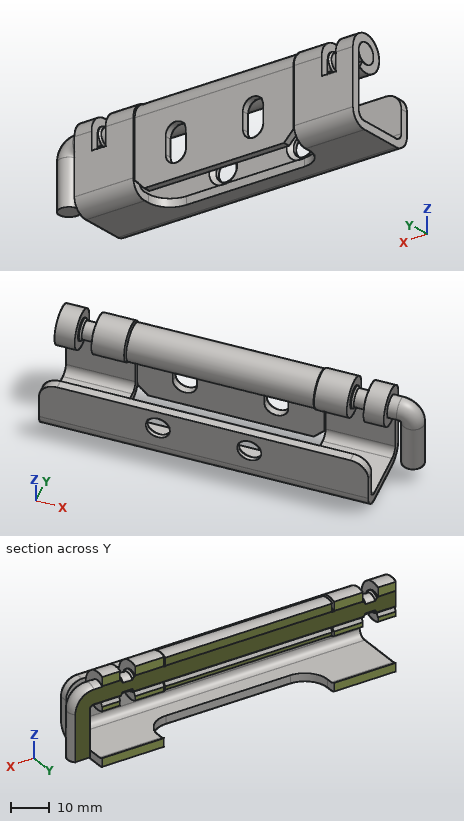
import cadquery as cq
import math


total_length = 99.1
total_depth = 23.0
total_height = 27.5

pin_diameter = 6.2
pin_radius = pin_diameter / 2
pin_bend_radius = 3.5
pin_tip_height = 4.2
neck_diameter = 5.2
neck_length = 2.9
neck_offset = 7.8

bracket_length = 90.0
bracket_thickness = 2.5
bracket_curl_radius = pin_radius + bracket_thickness
bend_inner_radius = 2.3
bend_outer_radius = bend_inner_radius + bracket_thickness
flange_height = 16.7
flange_corner_radius = 5.0
curl_end_angle = 30.0

knuckle_slot_start = 5.6
knuckle_slot_width = 4.6
knuckle_end = 19.0
opening_depth = 13.4
opening_corner_radius = 6.9

leaf_thickness = 2.2
leaf_curl_radius = pin_radius + leaf_thickness
leaf_start = 19.5
leaf_length = 51.1
leaf_bottom = 0.9
leaf_corner_chamfer = 3.0

hole_diameter = 6.5
hole_spacing = 25.0
hole_height = 11.1
countersink_depth = 1.3
slot_length = 11.7

axis_height = total_height - bracket_curl_radius
knuckle_bottom = axis_height - bracket_curl_radius
back_face = bracket_curl_radius
front_face = back_face - total_depth
middle = bracket_length / 2
hole_positions = [middle - hole_spacing / 2, middle + hole_spacing / 2]


def axis_point(radius, angle):
    """Point (y, z) around the pin axis; 0 degrees points to +Y and 90 degrees up."""
    turn = math.radians(angle)
    return (radius * math.cos(turn), axis_height + radius * math.sin(turn))


def add_curl(outline, outer_radius):
    """Roll the outline from the back face around the pin and return along the bore."""
    end_angle = 270 + curl_end_angle
    return (
        outline
        .threePointArc(axis_point(outer_radius, end_angle / 2), axis_point(outer_radius, end_angle))
        .lineTo(*axis_point(pin_radius, end_angle))
        .threePointArc(axis_point(pin_radius, end_angle / 2), axis_point(pin_radius, 0))
    )


def box_between(x_range, y_range, z_range):
    """Box given by its lower and upper limits along each axis."""
    size = [limits[1] - limits[0] for limits in (x_range, y_range, z_range)]
    corner = (x_range[0], y_range[0], z_range[0])
    return cq.Workplane("XY").box(*size, centered=False).translate(corner)


def bracket_channel():
    """Full-length sheet channel with a rolled back wall, a floor and a front flange."""
    diagonal = math.sqrt(0.5)
    outer_back = back_face - bend_outer_radius
    outer_front = front_face + bend_outer_radius
    outline = cq.Workplane("YZ").moveTo(back_face, bend_outer_radius).lineTo(back_face, axis_height)
    outline = (
        add_curl(outline, bracket_curl_radius)
        .lineTo(pin_radius, bend_outer_radius)
        .threePointArc(
            (outer_back + bend_inner_radius * diagonal, bend_outer_radius - bend_inner_radius * diagonal),
            (outer_back, bracket_thickness),
        )
        .lineTo(outer_front, bracket_thickness)
        .threePointArc(
            (outer_front - bend_inner_radius * diagonal, bend_outer_radius - bend_inner_radius * diagonal),
            (front_face + bracket_thickness, bend_outer_radius),
        )
        .lineTo(front_face + bracket_thickness, flange_height)
        .lineTo(front_face, flange_height)
        .lineTo(front_face, bend_outer_radius)
        .threePointArc(
            (outer_front - bend_outer_radius * diagonal, bend_outer_radius * (1 - diagonal)),
            (outer_front, 0),
        )
        .lineTo(outer_back, 0)
        .threePointArc(
            (outer_back + bend_outer_radius * diagonal, bend_outer_radius * (1 - diagonal)),
            (back_face, bend_outer_radius),
        )
        .close()
    )
    return outline.extrude(bracket_length)


def leaf_opening():
    """Cutter for the opening between the knuckles; only its floor part has rounded corners."""
    x_range = (knuckle_end, bracket_length - knuckle_end)
    floor_part = box_between(x_range, (back_face - opening_depth, back_face), (0, knuckle_bottom))
    floor_part = floor_part.edges("|Z and <Y").fillet(opening_corner_radius)
    curl_part = box_between(x_range, (-back_face, back_face), (knuckle_bottom, total_height))
    return floor_part.union(curl_part)


def flange_hole(x):
    """Cutter for a flange hole at x, countersunk on the inner side of the flange."""
    inner_face = front_face + bracket_thickness
    straight_hole = (
        cq.Workplane("XZ", origin=(x, inner_face, hole_height))
        .circle(hole_diameter / 2)
        .extrude(bracket_thickness)
    )
    countersink = cq.Solid.makeCone(
        hole_diameter / 2 + countersink_depth,
        hole_diameter / 2,
        countersink_depth,
        pnt=cq.Vector(x, inner_face, hole_height),
        dir=cq.Vector(0, -1, 0),
    )
    return straight_hole.union(cq.Workplane(countersink))


def make_bracket():
    bracket = bracket_channel()
    flange_corners = cq.selectors.BoxSelector(
        (-1, front_face - 1, flange_height - 1),
        (bracket_length + 1, front_face + bracket_thickness + 1, flange_height + 1),
    )
    bracket = bracket.edges(flange_corners).edges("|Y").fillet(flange_corner_radius)
    bracket = bracket.cut(leaf_opening())
    slot_end = knuckle_slot_start + knuckle_slot_width
    for start in (knuckle_slot_start, bracket_length - slot_end):
        slot = box_between(
            (start, start + knuckle_slot_width),
            (-back_face, back_face),
            (knuckle_bottom, total_height),
        )
        bracket = bracket.cut(slot)
    for x in hole_positions:
        bracket = bracket.cut(flange_hole(x))
    return bracket


def make_leaf():
    outline = (
        cq.Workplane("YZ", origin=(leaf_start, 0, 0))
        .moveTo(leaf_curl_radius, leaf_bottom)
        .lineTo(leaf_curl_radius, axis_height)
    )
    leaf = add_curl(outline, leaf_curl_radius).lineTo(pin_radius, leaf_bottom).close().extrude(leaf_length)
    leaf = leaf.faces("<Z").edges("|Y").chamfer(leaf_corner_chamfer)
    for x in hole_positions:
        slot = (
            cq.Workplane("XZ", origin=(x, leaf_curl_radius, hole_height))
            .slot2D(slot_length, hole_diameter, 90)
            .extrude(leaf_thickness)
        )
        leaf = leaf.cut(slot)
    return leaf


def pin_neck(x):
    """Ring cutter for a neck with 45 degree shoulders centred at x."""
    neck_radius = neck_diameter / 2
    half_floor = neck_length / 2
    half_top = half_floor + pin_radius - neck_radius
    return (
        cq.Workplane("XY")
        .polyline([
            (x - half_floor, neck_radius),
            (x + half_floor, neck_radius),
            (x + half_top, pin_radius),
            (x - half_top, pin_radius),
        ])
        .close()
        .revolve(360, (0, 0, 0), (1, 0, 0))
        .translate((0, 0, axis_height))
    )


def make_pin():
    leg_x = total_length - pin_radius
    bend_start = leg_x - pin_bend_radius
    bend_end = axis_height - pin_bend_radius
    diagonal = math.sqrt(0.5)
    path = (
        cq.Workplane("XZ")
        .moveTo(0, axis_height)
        .lineTo(bend_start, axis_height)
        .threePointArc(
            (bend_start + pin_bend_radius * diagonal, bend_end + pin_bend_radius * diagonal),
            (leg_x, bend_end),
        )
        .lineTo(leg_x, pin_tip_height)
    )
    pin = cq.Workplane("YZ", origin=(0, 0, axis_height)).circle(pin_radius).sweep(path)
    for x in (neck_offset, bracket_length - neck_offset):
        pin = pin.cut(pin_neck(x))
    return pin


bracket = make_bracket()
leaf = make_leaf()
pin = make_pin()

result = cq.Compound.makeCompound([bracket.val(), leaf.val(), pin.val()])